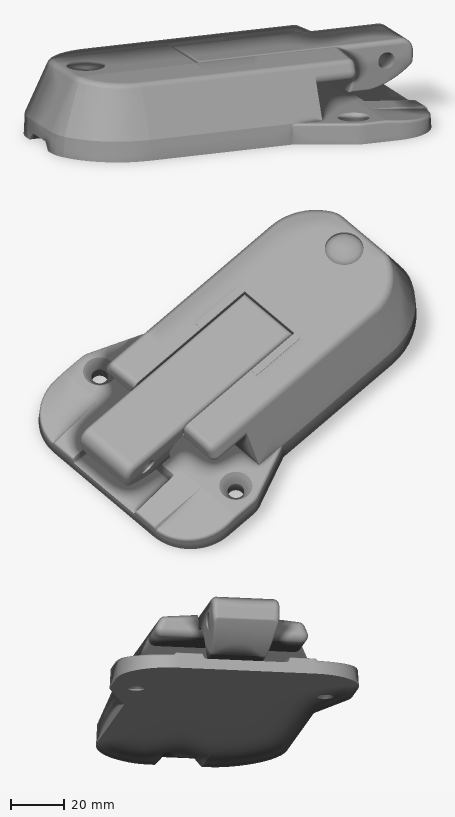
import cadquery as cq
import math

OVERALL_LENGTH = 147.5
OVERALL_HEIGHT = 29.0
REAR_Y = -OVERALL_LENGTH / 2
FRONT_Y = OVERALL_LENGTH / 2

BODY_HALF_WIDTH = 36.1
SIDE_ARC_RADIUS = 31.7
SIDE_ARC_Y = -43.7
END_ARC_RADIUS = 17.7

BASE_HEIGHT = 8.0
BASE_DRAFT = 3
WING_HALF_WIDTH = 46.0
WING_FRONT_Y = 73.3
WING_CORNER_RADIUS = 19.9
WING_SHOULDER_Y = 37.8
WING_END_Y = 14.0
WING_SHOULDER_RADIUS = 9.9
WING_EDGE_FILLET = 1.0
RAMP_START_Y = 48.7
SIDE_RAMP_DROP = 2.8
CENTRE_RAMP_DROP = 1.9
RAISED_HALF_WIDTH = 27.3
SCREW_X = 36.0
SCREW_Y = 39.2
SCREW_DIAMETER = 6.2
SINK_DIAMETER = 12.4
SINK_ANGLE = 82
CATCH_HALF_WIDTH = 16.2
CATCH_REAR_Y = 51.9
CATCH_FLOOR_Z = 4.0
CATCH_SPREAD_ANGLE = 3.5
CATCH_WALL_ANGLE = 22
CATCH_FILLET = 0.9
NOTCH_TOP_HALF_WIDTH = 6.0
NOTCH_BOTTOM_HALF_WIDTH = 8.8
NOTCH_HEIGHT = 3.1
NOTCH_INNER_HEIGHT = 2.0
NOTCH_BOSS_RADIUS = 5.9

COVER_DRAFT = 23.5
COVER_FRONT_Y = 43.8
CROWN_HALF_WIDTH = 13.1
COVER_TOP_Z = 28.9
CROWN_ANGLE = 5
COVER_EDGE_FILLET = 2.7
OVERHANG_Z = 20.0
OVERHANG_REAR_Y = 26.5

ARM_HALF_WIDTH = 12.8
ARM_REAR_Y = -14.6
ARM_UNDERSIDE_Z = 22.7
ARM_NOSE_RADIUS = 4.9
ARM_EDGE_FILLET = 1.9
HOOK_BOTTOM_Z = 10.0
HOOK_SIDE_Z = 21.5
HOOK_HALF_WIDTH = 10.6
HOOK_SIDE_RADIUS = 16.2
HOOK_EDGE_FILLET = 0.9
NOSE_LOWER_Z = 19.9
HOOK_BELLY = (66.2, 13.7)
HOOK_HEEL = (56.8, HOOK_BOTTOM_Z)
HOOK_TIP = (48.2, HOOK_BOTTOM_Z)
HOOK_MOUTH = (49.8, 17.7)
HOOK_THROAT = (48.0, 21.2)
HOOK_ROOT = (44.5, ARM_UNDERSIDE_Z)
ARM_HOLE_Y = 62.4
ARM_HOLE_Z = 21.4
ARM_HOLE_DIAMETER = 6.6
ARM_SLOT_REAR_Y = -14.9

INSERT_HALF_WIDTH = 16.2
INSERT_FRONT_Y = 8.3
INSERT_BOTTOM_Z = 20.0

BUTTON_Y = -54.5
BUTTON_RADIUS = 7.2
BUTTON_BOTTOM_Z = 23.6
BUTTON_TOP_Z = 28.2
BUTTON_DOME_RADIUS = 59


def box(half_width, y_min, y_max, z_min, z_max):
    """A block centred on X."""
    return cq.Workplane("XY").box(
        2 * half_width, y_max - y_min, z_max - z_min, centered=(True, False, False)
    ).translate((0, y_min, z_min))


def across(points, half_width):
    """A YZ outline extruded symmetrically along X."""
    return cq.Workplane("YZ").polyline(points).close().extrude(half_width, both=True)


def body_outline(inset, front_y):
    """Long outline whose rear end runs from large side arcs through tighter arcs into a flat."""
    half_width = BODY_HALF_WIDTH - inset
    side_radius = SIDE_ARC_RADIUS - inset
    side_x = half_width - side_radius
    end_radius = END_ARC_RADIUS - inset
    rear_y = REAR_Y + inset
    end_y = rear_y + end_radius
    end_x = side_x + math.sqrt((side_radius - end_radius) ** 2 - (end_y - SIDE_ARC_Y) ** 2)
    join_angle = math.atan2(end_y - SIDE_ARC_Y, end_x - side_x)

    def side_point(angle):
        return side_x + side_radius * math.cos(angle), SIDE_ARC_Y + side_radius * math.sin(angle)

    def end_point(angle):
        return end_x + end_radius * math.cos(angle), end_y + end_radius * math.sin(angle)

    def mirrored(point):
        return -point[0], point[1]

    side_middle = side_point(join_angle / 2)
    join = side_point(join_angle)
    end_middle = end_point((join_angle - math.pi / 2) / 2)
    return (
        cq.Workplane("XY")
        .moveTo(-half_width, front_y)
        .lineTo(half_width, front_y)
        .lineTo(half_width, SIDE_ARC_Y)
        .threePointArc(side_middle, join)
        .threePointArc(end_middle, (end_x, rear_y))
        .lineTo(-end_x, rear_y)
        .threePointArc(mirrored(end_middle), mirrored(join))
        .threePointArc(mirrored(side_middle), (-half_width, SIDE_ARC_Y))
        .close()
    )


def drafted_body(inset, bottom_z, height, draft):
    """Body with the long outline whose sides lean in by the draft angle."""
    body = body_outline(inset, FRONT_Y).extrude(height, taper=draft)
    return body.translate((0, 0, bottom_z))


def wing_plate():
    """Drafted front plate with round corners and soft shoulders."""
    half_outline = [(WING_HALF_WIDTH, WING_FRONT_Y), (WING_HALF_WIDTH, WING_SHOULDER_Y),
                    (BODY_HALF_WIDTH, WING_END_Y)]
    mirrored = [(-x, y) for x, y in reversed(half_outline)]
    plate = (
        cq.Workplane("XY")
        .polyline(half_outline + mirrored)
        .close()
        .extrude(BASE_HEIGHT, taper=BASE_DRAFT)
    )
    plate = plate.faces(">Y").edges("not(|X)").fillet(WING_CORNER_RADIUS)
    shoulders = cq.selectors.BoxSelector(
        (-WING_HALF_WIDTH, WING_SHOULDER_Y - 1.5, 1.5),
        (WING_HALF_WIDTH, WING_SHOULDER_Y + 1.5, BASE_HEIGHT - 1.5),
    )
    return plate.edges(shoulders).fillet(WING_SHOULDER_RADIUS)


def ramp(drop):
    """Wedge above the plane that falls by drop from the ramp start to the front edge."""
    beyond_y = FRONT_Y + 1.5
    slope = drop / (WING_FRONT_Y - RAMP_START_Y)
    end_z = BASE_HEIGHT - slope * (beyond_y - RAMP_START_Y)
    return across(
        [(RAMP_START_Y, BASE_HEIGHT), (beyond_y, end_z), (beyond_y, BASE_HEIGHT + 1.5),
         (RAMP_START_Y, BASE_HEIGHT + 1.5)],
        WING_HALF_WIDTH,
    )


def raised_field():
    """Bevelled bar on the side ramp that stays higher than the ground beside it."""
    run = WING_FRONT_Y - RAMP_START_Y
    ramp_plane = cq.Plane(
        origin=(0, RAMP_START_Y, BASE_HEIGHT),
        xDir=(1, 0, 0),
        normal=(0, -run, SIDE_RAMP_DROP),
    )
    rise = SIDE_RAMP_DROP
    return (
        cq.Workplane(ramp_plane)
        .polyline([(-RAISED_HALF_WIDTH, 0), (-RAISED_HALF_WIDTH, -rise), (RAISED_HALF_WIDTH, -rise),
                   (RAISED_HALF_WIDTH, 0),
                   (RAISED_HALF_WIDTH - rise, rise), (-RAISED_HALF_WIDTH + rise, rise)])
        .close()
        .extrude(-2 * run)
    )


def catch_pocket():
    """Flat-floored pocket with sloping walls that widens towards the front edge."""
    depth = BASE_HEIGHT - CATCH_FLOOR_Z
    beyond_y = FRONT_Y + 7.4
    spread = (beyond_y - CATCH_REAR_Y) * math.tan(math.radians(CATCH_SPREAD_ANGLE))
    pocket = (
        cq.Workplane("XY", origin=(0, 0, BASE_HEIGHT))
        .polyline([(-CATCH_HALF_WIDTH, CATCH_REAR_Y), (CATCH_HALF_WIDTH, CATCH_REAR_Y),
                   (CATCH_HALF_WIDTH + spread, beyond_y), (-CATCH_HALF_WIDTH - spread, beyond_y)])
        .close()
        .extrude(-depth, taper=CATCH_WALL_ANGLE)
    )
    pocket = pocket.faces("<Y").edges("not(|X)").fillet(CATCH_FILLET)
    return pocket.faces("<Z").edges().fillet(CATCH_FILLET)


def cable_notch():
    """Trapezoidal notch under the rear end whose roof slopes down to a round boss."""
    section = (
        cq.Workplane("XZ", origin=(0, REAR_Y - 1.5, 0))
        .polyline([(-NOTCH_BOTTOM_HALF_WIDTH, 0), (NOTCH_BOTTOM_HALF_WIDTH, 0),
                   (NOTCH_TOP_HALF_WIDTH, NOTCH_HEIGHT), (-NOTCH_TOP_HALF_WIDTH, NOTCH_HEIGHT)])
        .close()
        .extrude(REAR_Y - 1.5 - BUTTON_Y)
    )
    boss_front_y = BUTTON_Y - NOTCH_BOSS_RADIUS
    roof = across(
        [(REAR_Y - 1.5, 0), (REAR_Y - 1.5, NOTCH_HEIGHT), (REAR_Y, NOTCH_HEIGHT),
         (boss_front_y, NOTCH_INNER_HEIGHT), (BUTTON_Y, NOTCH_INNER_HEIGHT), (BUTTON_Y, 0)],
        NOTCH_BOTTOM_HALF_WIDTH,
    )
    boss = cq.Workplane("XY").center(0, BUTTON_Y).circle(NOTCH_BOSS_RADIUS).extrude(NOTCH_HEIGHT)
    return section.intersect(roof).cut(boss)


def countersinks():
    """Through holes with conical mouths in both wings."""
    cone_depth = (SINK_DIAMETER - SCREW_DIAMETER) / 2 / math.tan(math.radians(SINK_ANGLE / 2))
    hole = (
        cq.Workplane("XZ")
        .polyline([(0, 0), (SCREW_DIAMETER / 2, 0), (SCREW_DIAMETER / 2, BASE_HEIGHT - cone_depth),
                   (SINK_DIAMETER / 2, BASE_HEIGHT), (0, BASE_HEIGHT)])
        .close()
        .revolve(360, (0, 0), (0, 1))
    )
    return [hole.translate((x, SCREW_Y, 0)) for x in (-SCREW_X, SCREW_X)]


def ramped_plate(drop):
    """Wing plate with a ramp across its whole front and a rounded upper rim."""
    plate = wing_plate().cut(ramp(drop))
    lowest_rim = BASE_HEIGHT - drop - 0.1

    def is_rim(edge):
        bounds = edge.BoundingBox()
        crosses_inside = bounds.ylen < 0.01 and bounds.ymax < WING_FRONT_Y - 1.5
        return bounds.zmin > lowest_rim and not crosses_inside

    rim = [edge for edge in plate.edges().vals() if is_rim(edge)]
    return plate.newObject(rim).fillet(WING_EDGE_FILLET)


def make_base():
    raised = ramped_plate(CENTRE_RAMP_DROP).intersect(raised_field())
    plate = ramped_plate(SIDE_RAMP_DROP).union(raised)
    body = drafted_body(0, 0, BASE_HEIGHT, BASE_DRAFT)
    body = body.cut(box(WING_HALF_WIDTH, OVERHANG_REAR_Y, FRONT_Y, 0, BASE_HEIGHT))
    base = plate.union(body).cut(catch_pocket()).cut(cable_notch())
    for hole in countersinks():
        base = base.cut(hole)
    return base


def crown_profile():
    """Cross-section with a flat middle strip and gently falling sides."""
    fall = (BODY_HALF_WIDTH - CROWN_HALF_WIDTH) * math.tan(math.radians(CROWN_ANGLE))
    return (
        cq.Workplane("XZ", origin=(0, FRONT_Y, 0))
        .polyline([(-BODY_HALF_WIDTH, 0), (BODY_HALF_WIDTH, 0), (BODY_HALF_WIDTH, COVER_TOP_Z - fall),
                   (CROWN_HALF_WIDTH, COVER_TOP_Z), (-CROWN_HALF_WIDTH, COVER_TOP_Z),
                   (-BODY_HALF_WIDTH, COVER_TOP_Z - fall)])
        .close()
        .extrude(OVERALL_LENGTH)
    )


def is_cover_rim(edge):
    """True for the edges around the top of the cover, without its two crown lines."""
    bounds = edge.BoundingBox()
    middle = edge.positionAt(0.5)
    crown_line = abs(abs(middle.x) - CROWN_HALF_WIDTH) < 0.1 and bounds.ylen > COVER_FRONT_Y
    return bounds.zmin > OVERHANG_Z + 3 and not crown_line


def is_overhang_edge(edge):
    """True for the outer edges of the overhanging front, below its top."""
    return edge.Center().y > OVERHANG_REAR_Y + 1.5 and edge.BoundingBox().zmin > OVERHANG_Z - 0.1


def make_cover():
    """Drafted cover with an overhanging front, an arm slot, an insert recess and a button bore."""
    base_inset = BASE_HEIGHT * math.tan(math.radians(BASE_DRAFT))
    cover_height = OVERALL_HEIGHT - BASE_HEIGHT
    cover = drafted_body(base_inset, BASE_HEIGHT, cover_height, COVER_DRAFT)
    cover = cover.intersect(crown_profile())
    cover = cover.cut(box(BODY_HALF_WIDTH, COVER_FRONT_Y, FRONT_Y, 0, OVERALL_HEIGHT))
    cover = cover.cut(box(BODY_HALF_WIDTH, OVERHANG_REAR_Y, FRONT_Y, 0, OVERHANG_Z))
    rim = [edge for edge in cover.edges().vals() if is_cover_rim(edge) or is_overhang_edge(edge)]
    cover = cover.newObject(rim).fillet(COVER_EDGE_FILLET)
    cover = cover.cut(box(CROWN_HALF_WIDTH, ARM_SLOT_REAR_Y, FRONT_Y, ARM_UNDERSIDE_Z, OVERALL_HEIGHT))
    cover = cover.cut(button_bore())
    return cover.cut(insert_envelope())


def arm_outline():
    """Side outline of the arm with its hooked nose."""
    return (
        cq.Workplane("YZ")
        .moveTo(ARM_REAR_Y, ARM_UNDERSIDE_Z)
        .lineTo(ARM_REAR_Y, OVERALL_HEIGHT)
        .lineTo(FRONT_Y, OVERALL_HEIGHT)
        .lineTo(FRONT_Y, NOSE_LOWER_Z)
        .threePointArc(HOOK_BELLY, HOOK_HEEL)
        .lineTo(*HOOK_TIP)
        .lineTo(*HOOK_MOUTH)
        .threePointArc(HOOK_THROAT, HOOK_ROOT)
        .close()
    )


def is_hook_edge(edge):
    """True for the lower edges of the hook along its two sides."""
    below_sides = edge.BoundingBox().zmax < NOSE_LOWER_Z + 0.1
    return below_sides and abs(edge.tangentAt(0.5).x) < 0.5


def make_arm():
    """Arm with a rounded nose, a hook that narrows downwards and a cross hole."""
    arm = arm_outline().extrude(ARM_HALF_WIDTH, both=True)
    arm = arm.edges("|X and >Y and >Z").fillet(ARM_NOSE_RADIUS)
    arm = arm.intersect(hook_section())
    arm = arm.faces(">Z").edges().fillet(ARM_EDGE_FILLET)
    hook_edges = [edge for edge in arm.edges().vals() if is_hook_edge(edge)]
    arm = arm.newObject(hook_edges).fillet(HOOK_EDGE_FILLET)
    pin_hole = (
        cq.Workplane("YZ").center(ARM_HOLE_Y, ARM_HOLE_Z)
        .circle(ARM_HOLE_DIAMETER / 2).extrude(ARM_HALF_WIDTH, both=True)
    )
    return arm.cut(pin_hole)


def hook_section():
    """Cross-section with upright sides above and sides that lean in below."""
    section = (
        cq.Workplane("XZ", origin=(0, FRONT_Y, 0))
        .polyline([(-HOOK_HALF_WIDTH, HOOK_BOTTOM_Z), (HOOK_HALF_WIDTH, HOOK_BOTTOM_Z),
                   (ARM_HALF_WIDTH, HOOK_SIDE_Z), (ARM_HALF_WIDTH, OVERALL_HEIGHT),
                   (-ARM_HALF_WIDTH, OVERALL_HEIGHT), (-ARM_HALF_WIDTH, HOOK_SIDE_Z)])
        .close()
        .extrude(OVERALL_LENGTH)
    )
    bends = [edge for edge in section.edges("|Y").vals() if abs(edge.Center().z - HOOK_SIDE_Z) < 0.1]
    return section.newObject(bends).fillet(HOOK_SIDE_RADIUS)


def insert_envelope():
    """Block that fills the recess for the insert."""
    return box(INSERT_HALF_WIDTH, ARM_SLOT_REAR_Y, INSERT_FRONT_Y, INSERT_BOTTOM_Z, COVER_TOP_Z)


def make_insert():
    """U-shaped block that carries the rear of the arm."""
    channel = box(CROWN_HALF_WIDTH, ARM_SLOT_REAR_Y, INSERT_FRONT_Y, ARM_UNDERSIDE_Z, COVER_TOP_Z)
    return insert_envelope().cut(channel)


def button_bore():
    """Round bore in the cover's top that holds the button."""
    return (
        cq.Workplane("XY", origin=(0, BUTTON_Y, BUTTON_BOTTOM_Z))
        .circle(BUTTON_RADIUS)
        .extrude(OVERALL_HEIGHT - BUTTON_BOTTOM_Z)
    )


def make_button():
    """Round plug with a domed top below the cover's surface."""
    dome = cq.Workplane("XY").sphere(BUTTON_DOME_RADIUS).translate(
        (0, BUTTON_Y, BUTTON_TOP_Z - BUTTON_DOME_RADIUS)
    )
    return button_bore().intersect(dome)


base = make_base()
insert = make_insert()
cover = make_cover()
arm = make_arm()
button = make_button()
result = cq.Compound.makeCompound(
    [base.val(), cover.val(), arm.val(), insert.val(), button.val()]
)